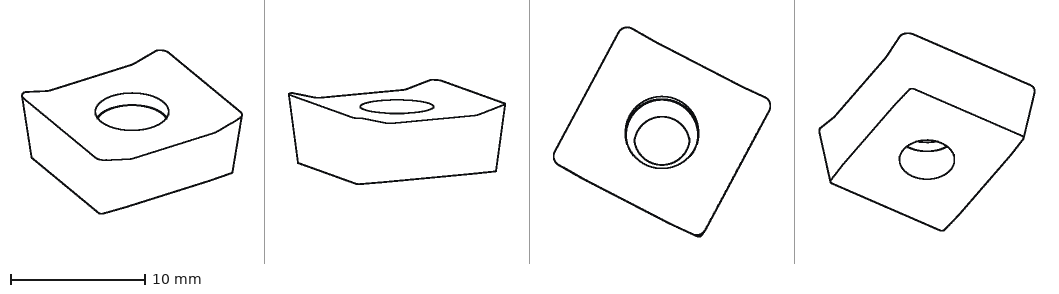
import cadquery as cq
import math

width = 11.71
length = 12.7
height = 5.14
base_width = 10.13
base_length = 11.68
corner_radius = 0.76
base_corner_radius = corner_radius - (length - base_length) / 2

floor_z = 4.57
floor_half = 3.68
land_width = 0.52
floor_blend_length = 0.2
land_start = length / 2 - land_width

bore_diameter = 4.1
seat_diameter = 5.46
seat_depth = 1.03
seat_ledge = 0.06
bowl_height = 1.22

corner_start = length / 2 - corner_radius
ramp_slope = (height - floor_z) / (land_start - floor_half)
corner_z = floor_z + ramp_slope * (corner_start - floor_half)


def rounded_outline(x_size, y_size, radius, z):
    return cq.Sketch().rect(x_size, y_size).vertices().fillet(radius).moved(cq.Location((0, 0, z)))


def base_width_under(top_z):
    """Base width below a top edge, at the constant draft of the sides."""
    return width - (width - base_width) * top_z / floor_z


def section_wire(y, top_z):
    """Trapezoidal cross-section, full width at its top edge."""
    half_base = base_width_under(top_z) / 2
    corners = [
        (-half_base, y, 0),
        (half_base, y, 0),
        (width / 2, y, top_z),
        (-width / 2, y, top_z),
    ]
    return cq.Wire.makePolygon([cq.Vector(*corner) for corner in corners], close=True)


def make_middle():
    """Body between the rounded corners, with sides of constant draft."""
    stations = [
        (-corner_start, corner_z),
        (-floor_half, floor_z),
        (floor_half, floor_z),
        (corner_start, corner_z),
    ]
    sections = [section_wire(y, z) for y, z in stations]
    return cq.Workplane(obj=cq.Solid.makeLoft(sections, True))


def make_ends():
    """Both tapered ends with their rounded corners, full height."""
    base = rounded_outline(base_width_under(corner_z), base_length, base_corner_radius, 0)
    rim = rounded_outline(width, length, corner_radius, corner_z)
    tapered = cq.Workplane().placeSketch(base, rim).loft(ruled=True)
    upper = cq.Workplane().placeSketch(rim).extrude(height - corner_z)
    middle_gap = cq.Workplane().box(2 * width, 2 * corner_start, 3 * height)
    return tapered.union(upper).cut(middle_gap)


def make_blends(body):
    """Round the two bends between the floor and the ramps."""
    bend_angle = math.atan(ramp_slope)
    blend_radius = floor_blend_length / math.tan(bend_angle / 2)
    reach = 0.01
    for y in (-floor_half, floor_half):
        bend = cq.selectors.BoxSelector(
            (-reach, y - reach, floor_z - reach),
            (reach, y + reach, floor_z + reach),
        )
        body = body.edges(bend).fillet(blend_radius)
    return body


def make_ramp_cutter():
    """Space above the ramps, running along X."""
    return (
        cq.Workplane("YZ")
        .polyline([
            (-land_start, height),
            (-floor_half, floor_z),
            (floor_half, floor_z),
            (land_start, height),
        ])
        .close()
        .extrude(width, both=True)
    )


def make_hole():
    """Through bore, convex bowl tangent to it, and a wider seat on top."""
    bore_radius = bore_diameter / 2
    seat_radius = seat_diameter / 2
    seat_z = floor_z - seat_depth
    return (
        cq.Workplane("XZ")
        .lineTo(bore_radius, 0)
        .lineTo(bore_radius, seat_z - bowl_height)
        .tangentArcPoint((seat_radius - seat_ledge, seat_z), relative=False)
        .lineTo(seat_radius, seat_z)
        .lineTo(seat_radius, height)
        .lineTo(0, height)
        .close()
        .revolve(360, (0, 0), (0, 1))
    )


body = make_blends(make_middle()).union(make_ends().cut(make_ramp_cutter()))
result = body.cut(make_hole())